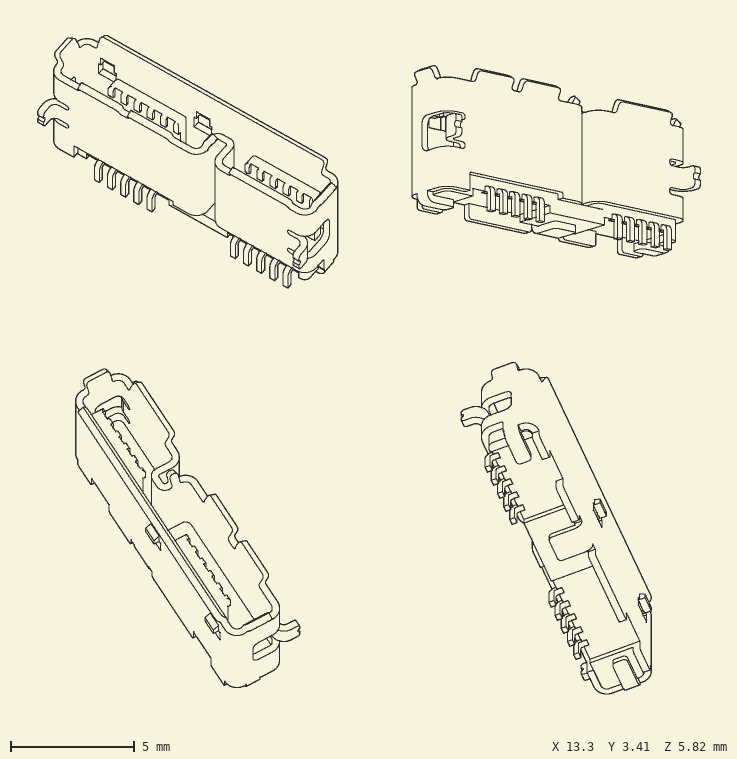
import cadquery as cq
import math

SHEET = 0.30
SHELL_HALF_X = 6.425
SHELL_BACK_Y = 1.46
SHELL_FRONT_Y = -1.02
SHELL_TOP_Z = 2.31
SHELL_BOTTOM_Z = -2.26
OUTER_RADIUS = 0.57
INNER_RADIUS = OUTER_RADIUS - SHEET

GROOVE_LEFT_X = 1.07
GROOVE_RIGHT_X = 1.55
GROOVE_END_Y = 0.225
GROOVE_RADIUS = 0.08
GROOVE_CAVITY_RADIUS = GROOVE_RADIUS + SHEET

FRONT_EDGE_Z = -1.50
GROOVE_EDGE_Z = -1.74
FRONT_EDGE_LEFT_X = -5.15
FRONT_EDGE_STEP_X = -0.24
FRONT_EDGE_RADIUS = 0.06
SIDE_CUT_Y = 0.11
SIDE_CUT_RADIUS = 0.12

LIP_ANGLE = 30.0
LIP_BEND_RADIUS = 0.30
LIP_STRAIGHT = 0.345
LIP_NECK_RADIUS = 0.13
LIP_TIP_RADIUS = 0.16
BACK_LIP_WIDTH = 11.08
FRONT_LIPS = ((-3.90, 1.92), (-1.45, 1.93), (4.02, 2.82))
SIDE_LIP_Y = 0.21
SIDE_LIP_WIDTH = 1.10
GROOVE_LIP_Y = -0.17
GROOVE_LIP_WIDTH = 0.38

LEG_Z = 0.16
LEG_HEIGHT = 0.92
WINDOW_HEIGHT = 1.48
WINDOW_BACK_Y = 0.47
WINDOW_RADIUS = 0.30
SLOT_END_X = 5.41
LEG_BEND_X = 5.89
LEG_TIP_Y = -1.705
LEG_TIP_RADIUS = 0.16
LEG_NOTCH_RADIUS = 0.14
LEG_NOTCH_DEPTH = 0.10

LATCH_CENTERS_X = (-5.03, -0.31)
LATCH_WIDTH = 0.66
LATCH_TIP_Y = 1.705
LATCH_ROOT_Z = 1.83
LATCH_SHOULDER_Z = 1.67
LATCH_BOTTOM_Z = 1.37
LATCH_RECESS_Y = LATCH_TIP_Y - SHEET
LATCH_RELIEF = 0.10
LATCH_HOLE_BOTTOM_Z = 0.75

FOOT_BOTTOM_Z = -2.70
FEET = ((-5.85, -4.74), (-3.35, -0.05), (1.62, 3.35), (4.74, 5.85))
FOOT_RADIUS = 0.13
FEET_GAPS = ((-4.74, -3.35), (3.35, 4.74))
FOLD_RADIUS = 0.37
FOLD_TIP_RADIUS = 0.16
SIDE_FOLD_Y = 0.46
SIDE_FOLD_WIDTH = 0.64
SIDE_FOLD_REACH = 1.475
BACK_FOLD_X = 0.785
BACK_FOLD_WIDTH = 1.15
BACK_FOLD_REACH = 1.48

FLOOR_Z = -1.22
HOUSING_BOTTOM_Z = -2.37
PIN_RECESS_TOP_Z = -2.06
PIN_RECESSES = ((-4.74, -0.67), (2.22, 5.75))

TONGUES = ((-4.42, -0.94), (2.34, 5.70))
TONGUE_BACK_Y = 0.96
TONGUE_FRONT_Y = 0.35
TONGUE_TOP_Z = 1.50
TONGUE_RADIUS = 0.12
RIB_DEPTH = 0.12
RIB_BOTTOM_Z = 0.95
RIB_GAP = 0.38

PINS_PER_GROUP = 5
PIN_PITCH = 0.65
PIN_GROUP_CENTERS_X = (-2.68, 4.04)
PIN_WIDTH = 0.25
PIN_THICKNESS = 0.22
PIN_TOP_Z = -1.86
PIN_BOTTOM_Z = -2.91
PIN_FRONT_Y = -1.07
PIN_BEND_RADIUS = 0.29
PIN_ROOT_Y = -0.50

CAVITY_HALF_X = SHELL_HALF_X - SHEET
CAVITY_BACK_Y = SHELL_BACK_Y - SHEET
CAVITY_FRONT_Y = SHELL_FRONT_Y + SHEET
DIAGONAL = math.sqrt(0.5)
CLEAR = 0.5
EMBED = 0.05


def box(x_span, y_span, z_span):
    """Box given by its limits along each axis."""
    sizes = [span[1] - span[0] for span in (x_span, y_span, z_span)]
    corner = (x_span[0], y_span[0], z_span[0])
    return cq.Workplane("XY").box(*sizes, centered=False).translate(corner)


def both_sides(body):
    """The body together with its mirror image across X = 0."""
    return body.union(body.mirror("YZ"))


def grooved_block(inset, corner_radius, groove_radius, z_span):
    """Rounded block with the keying groove, its outline moved in from the outer one."""
    half_x = SHELL_HALF_X - inset
    back_y = SHELL_BACK_Y - inset
    front_y = SHELL_FRONT_Y + inset
    groove_end_y = GROOVE_END_Y + inset
    left_x = GROOVE_LEFT_X - inset
    right_x = GROOVE_RIGHT_X + inset
    block = box((-half_x, half_x), (front_y, back_y), z_span).edges("|Z").fillet(corner_radius)
    groove = box((left_x, right_x), (front_y, groove_end_y), z_span)
    groove = groove.edges("|Z and >Y").fillet(groove_radius)
    block = block.cut(groove)
    middle_z = sum(z_span) / 2
    for mouth_x in (left_x, right_x):
        block = block.edges(cq.NearestToPointSelector((mouth_x, front_y, middle_z))).fillet(corner_radius)
    return block


def cavity_block(z_span):
    """Block that fills the inside of the shell."""
    return grooved_block(SHEET, INNER_RADIUS, GROOVE_CAVITY_RADIUS, z_span)


def place(body, x, y, turn):
    """Turn a body that faces -Y about Z and move it onto a wall."""
    return body.rotate((0, 0, 0), (0, 0, 1), turn).translate((x, y, 0))


def lip(width):
    """Flared rim lip on a wall whose outer face is Y = 0 and faces -Y."""
    angle = math.radians(LIP_ANGLE)

    def on_bend(radius, part):
        return (radius * math.cos(part * angle) - LIP_BEND_RADIUS,
                SHELL_TOP_Z + radius * math.sin(part * angle))

    def tip(start):
        return (start[0] - LIP_STRAIGHT * math.sin(angle), start[1] + LIP_STRAIGHT * math.cos(angle))

    far_radius = LIP_BEND_RADIUS + SHEET
    near_end = on_bend(LIP_BEND_RADIUS, 1)
    near_tip = tip(near_end)
    far_end = on_bend(far_radius, 1)
    far_tip = tip(far_end)
    root_z = SHELL_TOP_Z - EMBED
    half_length = width / 2 + LIP_NECK_RADIUS
    strip = (
        cq.Workplane("YZ", origin=(-half_length, 0, 0))
        .moveTo(0, root_z)
        .lineTo(0, SHELL_TOP_Z)
        .threePointArc(on_bend(LIP_BEND_RADIUS, 0.5), near_end)
        .lineTo(*near_tip)
        .lineTo(*far_tip)
        .lineTo(*far_end)
        .threePointArc(on_bend(far_radius, 0.5), (SHEET, SHELL_TOP_Z))
        .lineTo(SHEET, root_z)
        .close()
        .extrude(2 * half_length)
    )
    y_span = (-CLEAR, SHEET + CLEAR)
    face = box((-width / 2, width / 2), y_span, (root_z, far_tip[1]))
    neck_top_z = SHELL_TOP_Z + LIP_NECK_RADIUS
    face = face.union(box((-half_length, half_length), y_span, (root_z, neck_top_z)))
    for side in (-1, 1):
        hollow = (
            cq.Workplane("XZ", origin=(side * half_length, 0, neck_top_z))
            .circle(LIP_NECK_RADIUS)
            .extrude(2 * CLEAR, both=True)
        )
        face = face.cut(hollow)
    across_sheet = cq.ParallelDirSelector(cq.Vector(0, math.cos(angle), math.sin(angle)))
    return strip.intersect(face).edges(across_sheet).fillet(LIP_TIP_RADIUS)


def rim_lips():
    lips = place(lip(BACK_LIP_WIDTH), 0, SHELL_BACK_Y, 180)
    for center_x, width in FRONT_LIPS:
        lips = lips.union(place(lip(width), center_x, SHELL_FRONT_Y, 0))
    side_lip = lip(SIDE_LIP_WIDTH)
    lips = lips.union(both_sides(place(side_lip, -SHELL_HALF_X, SIDE_LIP_Y, -90)))
    return lips.union(place(lip(GROOVE_LIP_WIDTH), GROOVE_LEFT_X, GROOVE_LIP_Y, 90))


def fold(width, reach):
    """Tab folded under the housing from a wall whose outer face is Y = 0 and faces -Y."""
    inner_radius = FOLD_RADIUS - SHEET
    bend_z = FOOT_BOTTOM_Z + FOLD_RADIUS
    tab = (
        cq.Workplane("YZ", origin=(-width / 2, 0, 0))
        .moveTo(0, SHELL_BOTTOM_Z + EMBED)
        .lineTo(0, bend_z)
        .threePointArc(
            (FOLD_RADIUS * (1 - DIAGONAL), bend_z - FOLD_RADIUS * DIAGONAL),
            (FOLD_RADIUS, FOOT_BOTTOM_Z),
        )
        .lineTo(reach, FOOT_BOTTOM_Z)
        .lineTo(reach, FOOT_BOTTOM_Z + SHEET)
        .lineTo(FOLD_RADIUS, FOOT_BOTTOM_Z + SHEET)
        .threePointArc(
            (FOLD_RADIUS - inner_radius * DIAGONAL, bend_z - inner_radius * DIAGONAL),
            (SHEET, bend_z),
        )
        .lineTo(SHEET, SHELL_BOTTOM_Z + EMBED)
        .close()
        .extrude(width)
    )
    return tab.edges("|Z and >Y").fillet(FOLD_TIP_RADIUS)


def folded_tabs():
    side_tab = place(fold(SIDE_FOLD_WIDTH, SIDE_FOLD_REACH), -SHELL_HALF_X, SIDE_FOLD_Y, -90)
    back_tab = place(fold(BACK_FOLD_WIDTH, BACK_FOLD_REACH), BACK_FOLD_X, SHELL_BACK_Y, 180)
    return both_sides(side_tab).union(back_tab)


def back_feet():
    feet = cq.Workplane("XY")
    for span in FEET:
        foot = box(span, (CAVITY_BACK_Y, SHELL_BACK_Y), (FOOT_BOTTOM_Z, SHELL_BOTTOM_Z + EMBED))
        feet = feet.add(foot.edges("|Y and <Z").fillet(FOOT_RADIUS))
    return feet.combine()


def side_window():
    """Opening in the -X wall, with the two relief slots that run into the front wall."""
    z_span = (LEG_Z - WINDOW_HEIGHT / 2, LEG_Z + WINDOW_HEIGHT / 2)
    front_y = SHELL_FRONT_Y - CLEAR
    window = box((-SHELL_HALF_X - CLEAR, -LEG_BEND_X), (front_y, WINDOW_BACK_Y), z_span)
    window = window.edges("|X and >Y").fillet(WINDOW_RADIUS)
    slot_height = (WINDOW_HEIGHT - LEG_HEIGHT) / 2
    slot_length = LEG_BEND_X - SLOT_END_X + 2 * slot_height
    slot_offset = (LEG_HEIGHT + slot_height) / 2
    for side in (-1, 1):
        slot = (
            cq.Workplane("XZ", origin=(-SLOT_END_X, CAVITY_FRONT_Y + EMBED, LEG_Z + side * slot_offset))
            .center(-slot_length / 2, 0)
            .slot2D(slot_length, slot_height)
            .extrude(SHEET + 2 * EMBED)
        )
        window = window.union(slot)
    return window


def hold_down_leg():
    """Leg that leaves the front wall at -X and bends towards -Y."""
    bend_y = CAVITY_FRONT_Y - OUTER_RADIUS
    outer_x = -LEG_BEND_X - OUTER_RADIUS
    inner_x = -LEG_BEND_X - INNER_RADIUS
    root_x = -LEG_BEND_X + EMBED
    leg = (
        cq.Workplane("XY", origin=(0, 0, LEG_Z - LEG_HEIGHT / 2))
        .moveTo(root_x, CAVITY_FRONT_Y)
        .lineTo(-LEG_BEND_X, CAVITY_FRONT_Y)
        .threePointArc(
            (-LEG_BEND_X - OUTER_RADIUS * DIAGONAL, bend_y + OUTER_RADIUS * DIAGONAL),
            (outer_x, bend_y),
        )
        .lineTo(outer_x, LEG_TIP_Y)
        .lineTo(inner_x, LEG_TIP_Y)
        .lineTo(inner_x, bend_y)
        .threePointArc(
            (-LEG_BEND_X - INNER_RADIUS * DIAGONAL, bend_y + INNER_RADIUS * DIAGONAL),
            (-LEG_BEND_X, SHELL_FRONT_Y),
        )
        .lineTo(root_x, SHELL_FRONT_Y)
        .close()
        .extrude(LEG_HEIGHT)
    )
    leg = leg.edges("|X and <Y").fillet(LEG_TIP_RADIUS)
    notch = (
        cq.Workplane("YZ", origin=(outer_x - CLEAR, LEG_TIP_Y + LEG_NOTCH_DEPTH - LEG_NOTCH_RADIUS, LEG_Z))
        .circle(LEG_NOTCH_RADIUS)
        .extrude(SHEET + 2 * CLEAR)
    )
    return leg.cut(notch)


def latch_hole(center_x):
    half = LATCH_WIDTH / 2
    y_span = (CAVITY_BACK_Y - EMBED, SHELL_BACK_Y + EMBED)
    upper = box((center_x - half, center_x + half), y_span, (LATCH_BOTTOM_Z, LATCH_ROOT_Z))
    relief_span = (center_x - half - LATCH_RELIEF, center_x + half + LATCH_RELIEF)
    return upper.union(box(relief_span, y_span, (LATCH_HOLE_BOTTOM_Z, LATCH_BOTTOM_Z)))


def latch(center_x):
    """Tongue of the back wall pushed outwards, its free end pointing down."""
    recess_z = LATCH_SHOULDER_Z - (LATCH_RECESS_Y - CAVITY_BACK_Y) / 2
    profile = [
        (CAVITY_BACK_Y, LATCH_ROOT_Z),
        (SHELL_BACK_Y, LATCH_ROOT_Z),
        (LATCH_TIP_Y, LATCH_SHOULDER_Z),
        (LATCH_TIP_Y, LATCH_BOTTOM_Z),
        (LATCH_RECESS_Y, LATCH_BOTTOM_Z),
        (LATCH_RECESS_Y, recess_z),
    ]
    start = (center_x - LATCH_WIDTH / 2, 0, 0)
    return cq.Workplane("YZ", origin=start).polyline(profile).close().extrude(LATCH_WIDTH)


def lower_edge_cuts():
    """Bodies that raise the lower edge of the front wall above the pins."""
    below = SHELL_BOTTOM_Z - CLEAR
    front_y = SHELL_FRONT_Y - CLEAR
    left = box((FRONT_EDGE_LEFT_X, FRONT_EDGE_STEP_X), (front_y, CAVITY_FRONT_Y), (below, FRONT_EDGE_Z))
    left = left.edges("|Y and >Z").fillet(FRONT_EDGE_RADIUS)
    groove_span = (FRONT_EDGE_STEP_X - EMBED, GROOVE_RIGHT_X + SHEET)
    groove = box(groove_span, (front_y, GROOVE_END_Y + SHEET), (below, GROOVE_EDGE_Z))
    right = box((GROOVE_RIGHT_X - EMBED, SHELL_HALF_X + CLEAR), (front_y, SIDE_CUT_Y), (below, FRONT_EDGE_Z))
    right = right.edges("|X and >Z and >Y").fillet(SIDE_CUT_RADIUS)
    groove_right = box(
        (GROOVE_RIGHT_X - EMBED, GROOVE_RIGHT_X + SHEET),
        (front_y, SIDE_CUT_Y),
        (below, FRONT_EDGE_Z),
    )
    return left.union(groove).union(groove_right).union(right)


def shell():
    wall_span = (SHELL_BOTTOM_Z, SHELL_TOP_Z)
    body = grooved_block(0, OUTER_RADIUS, GROOVE_RADIUS, wall_span)
    body = body.cut(cavity_block(wall_span)).cut(lower_edge_cuts())
    for span in FEET_GAPS:
        gap = box(span, (CAVITY_BACK_Y, SHELL_BACK_Y), (SHELL_BOTTOM_Z, PIN_RECESS_TOP_Z))
        body = body.cut(gap)
    body = body.cut(both_sides(side_window())).union(both_sides(hold_down_leg()))
    for center_x in LATCH_CENTERS_X:
        body = body.cut(latch_hole(center_x)).union(latch(center_x))
    return body.union(rim_lips()).union(back_feet()).union(folded_tabs())


def pin_positions(group_center_x):
    first = group_center_x - PIN_PITCH * (PINS_PER_GROUP - 1) / 2
    return [first + PIN_PITCH * i for i in range(PINS_PER_GROUP)]


def tongue(x_span, group_center_x):
    """Contact carrier on the cavity floor, with ribs at its top front edge between the contacts."""
    body = box(x_span, (TONGUE_FRONT_Y, TONGUE_BACK_Y), (FLOOR_Z - EMBED, TONGUE_TOP_Z))
    body = body.edges("|Z and >Y").fillet(TONGUE_RADIUS).faces(">Z").edges().fillet(TONGUE_RADIUS)
    rib_y_span = (TONGUE_FRONT_Y, TONGUE_FRONT_Y + RIB_DEPTH)
    body = body.cut(box(x_span, rib_y_span, (FLOOR_Z - EMBED, RIB_BOTTOM_Z)))
    half = RIB_GAP / 2
    for x in pin_positions(group_center_x):
        body = body.cut(box((x - half, x + half), rib_y_span, (RIB_BOTTOM_Z, TONGUE_TOP_Z)))
    return body


def housing():
    base = box(
        (-CAVITY_HALF_X, CAVITY_HALF_X),
        (CAVITY_FRONT_Y, CAVITY_BACK_Y),
        (HOUSING_BOTTOM_Z, GROOVE_EDGE_Z),
    )
    base = base.edges("|Z").fillet(INNER_RADIUS)
    for span in PIN_RECESSES:
        base = base.cut(box(span, (CAVITY_FRONT_Y, CAVITY_BACK_Y), (HOUSING_BOTTOM_Z, PIN_RECESS_TOP_Z)))
    body = base.union(cavity_block((GROOVE_EDGE_Z, FLOOR_Z)))
    for span, center_x in zip(TONGUES, PIN_GROUP_CENTERS_X):
        body = body.union(tongue(span, center_x))
    return body


def pin(center_x):
    inner_radius = PIN_BEND_RADIUS - PIN_THICKNESS
    bend_y = PIN_FRONT_Y + PIN_BEND_RADIUS
    bend_z = PIN_TOP_Z - PIN_BEND_RADIUS
    return (
        cq.Workplane("YZ", origin=(center_x - PIN_WIDTH / 2, 0, 0))
        .moveTo(PIN_ROOT_Y, PIN_TOP_Z)
        .lineTo(bend_y, PIN_TOP_Z)
        .threePointArc(
            (bend_y - PIN_BEND_RADIUS * DIAGONAL, bend_z + PIN_BEND_RADIUS * DIAGONAL),
            (PIN_FRONT_Y, bend_z),
        )
        .lineTo(PIN_FRONT_Y, PIN_BOTTOM_Z)
        .lineTo(PIN_FRONT_Y + PIN_THICKNESS, PIN_BOTTOM_Z)
        .lineTo(PIN_FRONT_Y + PIN_THICKNESS, bend_z)
        .threePointArc(
            (bend_y - inner_radius * DIAGONAL, bend_z + inner_radius * DIAGONAL),
            (bend_y, PIN_TOP_Z - PIN_THICKNESS),
        )
        .lineTo(PIN_ROOT_Y, PIN_TOP_Z - PIN_THICKNESS)
        .close()
        .extrude(PIN_WIDTH)
    )


result = shell().union(housing())
for group_center_x in PIN_GROUP_CENTERS_X:
    for pin_x in pin_positions(group_center_x):
        result = result.union(pin(pin_x))